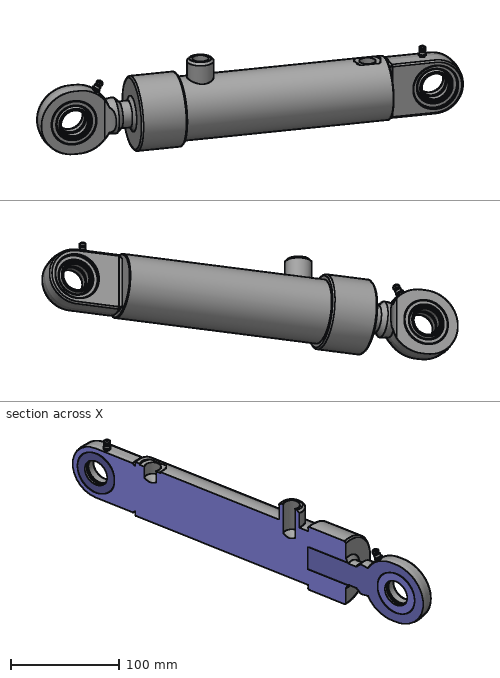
import cadquery as cq
import math


BARREL_DIA = 60.0
BARREL_REAR_Y = -45.0
BARREL_EDGE = 1.0
GLAND_DIA = 70.0
GLAND_REAR_Y = -243.5
GLAND_FRONT_Y = -287.5
GLAND_EDGE = 1.5
WIPER_DIA = 33.5
WIPER_LENGTH = 3.0
WIPER_TIP_Y = GLAND_FRONT_Y - WIPER_LENGTH

PORT_DIA = 15.5
PORT_BOSS_DIA = 25.0
OVERALL_HEIGHT = 83.0
PORT_BOSS_TOP = OVERALL_HEIGHT - GLAND_DIA / 2
PORT_BOSS_CHAMFER = 2.5
PORT_FLOOR = 16.0
DRILL_POINT_ANGLE = 118
REAR_PORT_Y = -62.3
FRONT_PORT_Y = -222.0
PORT_FLAT_DEPTH = 1.4
PORT_FLAT_HEIGHT = BARREL_DIA / 2 - PORT_FLAT_DEPTH

DRAFT_ANGLE = 5

REAR_EYE_RADIUS = 27.5
REAR_EYE_WIDTH = 23.0
REAR_EYE_CHAMFER = 1.5
REAR_EYE_FRONT_Y = -41.3
REAR_NECK_WIDTH = 21.0
REAR_EYE_ROOT = 4.0
WELD_NECK_DIA = 50.0

ROD_DIA = 25.0
FRONT_EYE_Y = -345.0
FRONT_EYE_RADIUS = 32.0
FRONT_EYE_WIDTH = 16.0
FRONT_EYE_STRETCH = 5.0
COLLAR_DIA = 33.5
COLLAR_END_DIA = 30.7
COLLAR_CONE_Y = -299.5
COLLAR_REAR_Y = -304.0
COLLAR_FRONT_Y = -307.0
NECK_MIDDLE_Y = -310.5
NECK_MIDDLE_WIDTH = 22.2
NECK_END_Y = -316.0

PIN_DIA = 25.0
BALL_DIA = 35.5
BALL_WIDTH = 20.0
BEARING_DIA = 42.0
BEARING_WIDTH = 16.0
RACE_MOUTH_DIA = 34.8
RACE_MOUTH_DEPTH = 1.0
BORE_CHAMFER = 1.0
GREASE_GROOVE_DIA = 26.0
GREASE_GROOVE_WIDTH = 2.5
SEAT_MOUTH_DIA = 43.3
SEAT_MOUTH_DEPTH = 0.6

NIPPLE_HEIGHT = 10.0
NIPPLE_DIA = 6.0
NIPPLE_STEM_DIA = 5.0
NIPPLE_FLANGE_DIA = 7.3
NIPPLE_NECK_DIA = 4.5
NIPPLE_TIP_DIA = 3.0
NIPPLE_ROOT_DEPTH = 2.0
NIPPLE_FLANGE_BOTTOM = 1.5
NIPPLE_FLANGE_TOP = 2.5
NIPPLE_NECK_BOTTOM = 5.3
NIPPLE_NECK_TOP = 7.0
NIPPLE_TIP_CHAMFER = 1.2
REAR_NIPPLE_Y = -9.7
FRONT_NIPPLE_ANGLE = 33


def turned(points):
    """Solid of revolution about Y from (radius, y) points."""
    return cq.Workplane("XY").polyline(points).close().revolve(360, (0, 0), (0, 1))


def cross_cylinder(diameter, width, y):
    """Cylinder along X, centred on the middle plane."""
    return cq.Workplane("YZ").center(y, 0).circle(diameter / 2).extrude(width / 2, both=True)


def drafted_eye(outline, width):
    """Eye plate grown both ways from its middle plane, shrinking with the draft."""
    half = outline.extrude(width / 2, taper=DRAFT_ANGLE)
    return half.union(half.mirror("YZ"))


def nipple(base_height):
    """Grease nipple standing up Z, rooted slightly below its base height."""
    stem = NIPPLE_STEM_DIA / 2
    flange = NIPPLE_FLANGE_DIA / 2
    body = NIPPLE_DIA / 2
    neck = NIPPLE_NECK_DIA / 2
    profile = [
        (0, -NIPPLE_ROOT_DEPTH), (stem, -NIPPLE_ROOT_DEPTH),
        (stem, NIPPLE_FLANGE_BOTTOM), (flange, NIPPLE_FLANGE_BOTTOM),
        (flange, NIPPLE_FLANGE_TOP), (body, NIPPLE_FLANGE_TOP),
        (body, NIPPLE_NECK_BOTTOM), (neck, NIPPLE_NECK_BOTTOM),
        (neck, NIPPLE_NECK_TOP), (body, NIPPLE_NECK_TOP),
        (body, NIPPLE_HEIGHT - NIPPLE_TIP_CHAMFER),
        (NIPPLE_TIP_DIA / 2, NIPPLE_HEIGHT), (0, NIPPLE_HEIGHT),
    ]
    solid = cq.Workplane("XZ").polyline(profile).close().revolve(360, (0, 0), (0, 1))
    return solid.translate((0, 0, base_height))


def bearing_seat(y, eye_width):
    """Cutter for the hole that holds a bearing, stepped wider at both faces of the eye."""
    seat = cross_cylinder(BEARING_DIA, eye_width, y)
    mouths = cross_cylinder(SEAT_MOUTH_DIA, eye_width, y)
    middle = cross_cylinder(SEAT_MOUTH_DIA, eye_width - 2 * SEAT_MOUTH_DEPTH, y)
    return seat.union(mouths.cut(middle))


def port_hole(y):
    """Cutter for a blind drilled port with a conical floor."""
    radius = PORT_DIA / 2
    point = radius / math.tan(math.radians(DRILL_POINT_ANGLE / 2))
    profile = [
        (0, PORT_FLOOR - point), (radius, PORT_FLOOR), (radius, PORT_BOSS_TOP), (0, PORT_BOSS_TOP),
    ]
    return cq.Workplane("XZ").polyline(profile).close().revolve(360, (0, 0), (0, 1)).translate((0, y, 0))


def make_rear_eye():
    """Rear eye with its grease nipple, ending at the barrel."""
    size = REAR_EYE_RADIUS
    root_y = BARREL_REAR_Y - REAR_EYE_ROOT
    outline = (
        cq.Workplane("YZ")
        .moveTo(root_y, -size)
        .lineTo(0, -size)
        .threePointArc((size, 0), (0, size))
        .lineTo(root_y, size)
        .close()
    )
    plate = drafted_eye(outline, REAR_EYE_WIDTH).faces("<X or >X").chamfer(REAR_EYE_CHAMFER)
    reach = 4 * size

    full_width = cq.Workplane("XY").center(0, REAR_EYE_FRONT_Y + reach / 2).rect(reach, reach)
    narrowed = cq.Workplane("XY").rect(REAR_NECK_WIDTH, 2 * reach)
    sides = full_width.extrude(reach, both=True).union(narrowed.extrude(reach, both=True))

    neck = WELD_NECK_DIA / 2
    turned_end = turned([
        (0, BARREL_REAR_Y), (neck, BARREL_REAR_Y), (reach, BARREL_REAR_Y + reach - neck),
        (0, BARREL_REAR_Y + reach - neck),
    ])
    grease = nipple(size).translate((0, REAR_NIPPLE_Y, 0))
    return plate.intersect(sides).intersect(turned_end).union(grease)


def make_housing():
    """Barrel, gland, ports and rear eye as one body."""
    barrel = BARREL_DIA / 2
    gland = GLAND_DIA / 2
    body = turned([
        (0, BARREL_REAR_Y), (barrel - BARREL_EDGE, BARREL_REAR_Y), (barrel, BARREL_REAR_Y - BARREL_EDGE),
        (barrel, GLAND_REAR_Y), (gland - GLAND_EDGE, GLAND_REAR_Y), (gland, GLAND_REAR_Y - GLAND_EDGE),
        (gland, GLAND_FRONT_Y + GLAND_EDGE), (gland - GLAND_EDGE, GLAND_FRONT_Y),
        (WIPER_DIA / 2, GLAND_FRONT_Y), (ROD_DIA / 2, WIPER_TIP_Y),
        (0, WIPER_TIP_Y),
    ])
    boss = (
        cq.Workplane("XY")
        .center(0, FRONT_PORT_Y)
        .circle(PORT_BOSS_DIA / 2)
        .extrude(PORT_BOSS_TOP)
        .faces(">Z")
        .chamfer(PORT_BOSS_CHAMFER)
    )
    flat = (
        cq.Workplane("XY", origin=(0, REAR_PORT_Y, PORT_FLAT_HEIGHT))
        .circle(PORT_BOSS_DIA / 2)
        .extrude(BARREL_DIA)
    )
    rod_hole = turned([
        (0, GLAND_REAR_Y), (ROD_DIA / 2, GLAND_REAR_Y),
        (ROD_DIA / 2, WIPER_TIP_Y), (0, WIPER_TIP_Y),
    ])
    body = body.union(boss).union(make_rear_eye()).cut(flat).cut(rod_hole)
    for y in (REAR_PORT_Y, FRONT_PORT_Y):
        body = body.cut(port_hole(y))
    return body.cut(bearing_seat(0, REAR_EYE_WIDTH))


def front_eye_outline():
    """Round eye stretched slightly towards the collar."""
    return (
        cq.Workplane("YZ")
        .center(FRONT_EYE_Y + FRONT_EYE_STRETCH / 2, 0)
        .slot2D(2 * FRONT_EYE_RADIUS + FRONT_EYE_STRETCH, 2 * FRONT_EYE_RADIUS)
    )


def make_rod():
    """Rod with its collar, waisted neck, front eye and grease nipple."""
    rod = ROD_DIA / 2
    collar = COLLAR_DIA / 2
    half = FRONT_EYE_WIDTH / 2
    shaft = turned([
        (0, GLAND_REAR_Y), (rod, GLAND_REAR_Y), (rod, COLLAR_CONE_Y), (collar, COLLAR_REAR_Y),
        (collar, COLLAR_FRONT_Y), (COLLAR_END_DIA / 2, NECK_END_Y), (0, NECK_END_Y),
    ])
    neck = drafted_eye(front_eye_outline(), COLLAR_DIA)
    waist = (
        cq.Workplane("XY")
        .moveTo(-collar, GLAND_REAR_Y)
        .lineTo(collar, GLAND_REAR_Y)
        .lineTo(collar, COLLAR_FRONT_Y)
        .threePointArc((NECK_MIDDLE_WIDTH / 2, NECK_MIDDLE_Y), (half, NECK_END_Y))
        .lineTo(-half, NECK_END_Y)
        .threePointArc((-NECK_MIDDLE_WIDTH / 2, NECK_MIDDLE_Y), (-collar, COLLAR_FRONT_Y))
        .close()
        .extrude(FRONT_EYE_RADIUS, both=True)
    )
    eye = drafted_eye(front_eye_outline(), FRONT_EYE_WIDTH)
    arc_centre = (0, FRONT_EYE_Y + FRONT_EYE_STRETCH, 0)
    grease = nipple(FRONT_EYE_RADIUS).rotate((0, 0, 0), (1, 0, 0), -FRONT_NIPPLE_ANGLE)
    body = shaft.union(neck).intersect(waist).union(eye).union(grease.translate(arc_centre))
    return body.cut(bearing_seat(FRONT_EYE_Y, FRONT_EYE_WIDTH))


def ball_point(x):
    """Point (x, radius) on the bearing ball."""
    return (x, math.sqrt((BALL_DIA / 2) ** 2 - x ** 2))


def make_bearing(y):
    """Spherical bearing about X whose ball stands out on both sides of its outer ring."""
    pin = PIN_DIA / 2
    ball_half = BALL_WIDTH / 2
    face = BEARING_WIDTH / 2
    race_end = face - RACE_MOUTH_DEPTH
    half = (
        cq.Workplane("XY")
        .moveTo(0, GREASE_GROOVE_DIA / 2)
        .lineTo(GREASE_GROOVE_WIDTH / 2, GREASE_GROOVE_DIA / 2)
        .lineTo(GREASE_GROOVE_WIDTH / 2, pin)
        .lineTo(ball_half - BORE_CHAMFER, pin)
        .lineTo(ball_half, pin + BORE_CHAMFER)
        .lineTo(*ball_point(ball_half))
        .threePointArc(ball_point((ball_half + race_end) / 2), ball_point(race_end))
        .lineTo(face, RACE_MOUTH_DIA / 2)
        .lineTo(face, BEARING_DIA / 2)
        .lineTo(0, BEARING_DIA / 2)
        .close()
        .revolve(360, (0, 0), (1, 0))
    )
    return half.union(half.mirror("YZ")).translate((0, y, 0))


housing = make_housing()
rod = make_rod()
bearings = [make_bearing(y) for y in (0, FRONT_EYE_Y)]

result = cq.Compound.makeCompound([housing.val(), rod.val(), *[b.val() for b in bearings]])